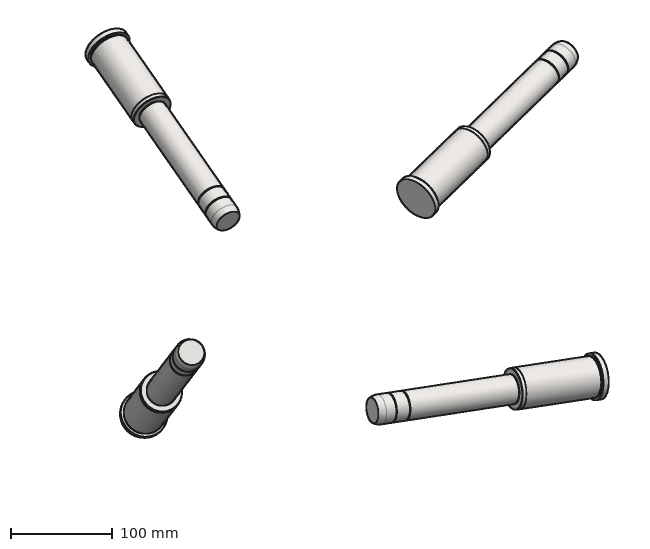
import cadquery as cq

total_length = 251.0

flange_diameter = 47.0
flange_thickness = 5.8

body_diameter = 42.0
body_end = 95.0
relief_diameter = 41.7
relief_width = 1.5
lead_diameter = 41.7
lead_length = 4.5
rim_chamfer = 0.38

pin_diameter = 30.0
neck_diameter = 29.5
neck_width = 0.8
groove_diameter = 29.5
groove_width = 0.8
groove_starts = (216.4, 231.5)

nose_length = 7.5
nose_tip_diameter = 25.9


def cylinder(diameter, start, length):
    """Solid cylinder on the X axis."""
    return cq.Workplane("YZ").workplane(offset=start).circle(diameter / 2).extrude(length)


def cut_groove(part, outer_diameter, floor_diameter, start, width):
    """Cut a square ring groove around the X axis."""
    ring = cylinder(outer_diameter, start, width).cut(cylinder(floor_diameter, start, width))
    return part.cut(ring)


def make_sleeve():
    """Flanged sleeve with a relief behind the flange and a reduced lead end."""
    lead_start = body_end - lead_length
    flange = cylinder(flange_diameter, 0, flange_thickness)
    body = cylinder(body_diameter, 0, lead_start)
    body = cut_groove(body, body_diameter, relief_diameter, flange_thickness, relief_width)
    lead = cylinder(lead_diameter, lead_start, lead_length).faces(">X").chamfer(rim_chamfer)
    return flange.union(body).union(lead)


def make_pin():
    """Pin with a neck at the sleeve, two ring grooves and a tangent rounded nose."""
    pin_radius = pin_diameter / 2
    tip_radius = nose_tip_diameter / 2
    nose_start = total_length - nose_length
    pin = (
        cq.Workplane("XY")
        .lineTo(0, pin_radius)
        .lineTo(nose_start, pin_radius)
        .tangentArcPoint((total_length, tip_radius), relative=False)
        .lineTo(total_length, 0)
        .close()
        .revolve(360, (0, 0, 0), (1, 0, 0))
    )
    pin = cut_groove(pin, pin_diameter, neck_diameter, body_end, neck_width)
    for start in groove_starts:
        pin = cut_groove(pin, pin_diameter, groove_diameter, start, groove_width)
    return pin


result = make_sleeve().union(make_pin())